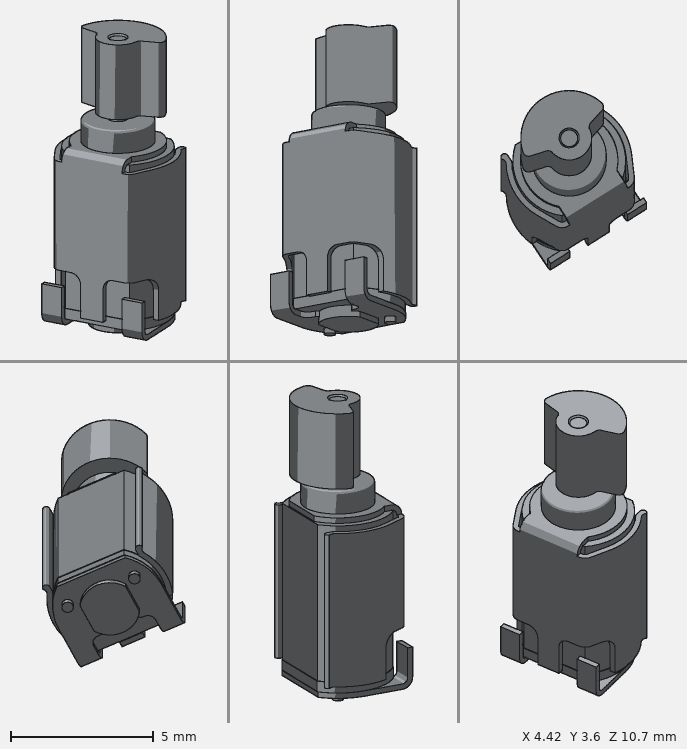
import cadquery as cq
import math


sheet = 0.2
bend_inner = sheet
bend_outer = bend_inner + sheet

plate_bottom = 0.2
plate_top = plate_bottom + sheet
cap_top = 0.8
sleeve_bottom = 0.7
can_top = 6.6
tab_top = can_top + sheet
sleeve_top = tab_top - bend_outer
bearing_top = 7.63
weight_bottom = 7.87
total_height = 10.66

can_radius = 1.97
can_half_depth = 1.5
cap_radius = 1.99
cap_half_depth = 1.52
bearing_radius = 1.3
bearing_fillet = 0.1
shaft_radius = 0.35

sleeve_outer = 2.21
sleeve_inner = sleeve_outer - sheet
front_outer = -1.9
front_inner = front_outer + sheet
bend_y = front_outer + bend_outer
wall_tangent_y = -0.98
lip_root_y = 1.15
lip_outer_x = 1.88
lip_inner_x = lip_outer_x - sheet
lip_tip_x = 1.81
lip_tip_y = 1.5
lip_curl_x = 1.94
lip_curl_y = 1.39
lip_hollow_y = 1.29
tab_radius = 1.71
tab_back = 1.44
tab_half_width = 1.2

window_top = 2.33
window_side_y = -0.79
window_side_radius = 0.5
tongue_half_width = 0.45
tongue_radius = 0.4

leg_outer_x = 2.0
leg_inner_x = tab_half_width
leg_top = 1.71
plate_front_y = -0.9
plate_fillet = 0.3
notch_half_width = 0.79
notch_chamfer = 0.11

boss_radius = 1.05
boss_half_width = 0.88
pin_radius = 0.2
pin_x = 1.3
pin_y = 0.7

weight_radius = 1.7
hub_radius = 0.79
weight_flank_angle = 15.0
flank_axis_y = -0.2
weight_fillet = 0.2
dimple_depth = 0.06
dimple_floor_radius = 0.3

beyond = 2 * sleeve_outer


def disc(radius, bottom, top):
    return cq.Workplane("XY").workplane(offset=bottom).circle(radius).extrude(top - bottom)


def block(x_range, y_range, z_range):
    size = [high - low for low, high in (x_range, y_range, z_range)]
    corner = (x_range[0], y_range[0], z_range[0])
    return cq.Workplane("XY").box(*size, centered=False).translate(corner)


def flatted_disc(radius, front, back, bottom, top):
    slab = block((-beyond, beyond), (front, back), (bottom, top))
    return disc(radius, bottom, top).intersect(slab)


def both_sides(half):
    return half.union(half.mirror("YZ"))


def motor():
    can = flatted_disc(can_radius, -can_half_depth, can_half_depth, cap_top, can_top)
    cap = flatted_disc(cap_radius, -cap_half_depth, cap_half_depth, plate_top, cap_top)
    bearing = disc(bearing_radius, can_top, bearing_top).faces(">Z").fillet(bearing_fillet)
    return can.union(cap).union(bearing)


def sleeve_wall_half():
    """Right half of the wrap-around wall: lip, round side, tangent flank, bend and front."""
    tangent_angle = math.asin(wall_tangent_y / sleeve_outer)
    cos_t, sin_t = math.cos(tangent_angle), math.sin(tangent_angle)
    flank_length = (bend_y - (sleeve_outer - bend_outer) * sin_t) / -cos_t
    bend_center_x = (sleeve_outer - bend_outer) * cos_t + flank_length * sin_t
    middle = (tangent_angle - math.pi / 2) / 2

    def on_bend(radius, angle):
        return (bend_center_x + radius * math.cos(angle), bend_y + radius * math.sin(angle))

    outer_root = (math.sqrt(sleeve_outer**2 - lip_root_y**2), lip_root_y)
    inner_root_y = math.sqrt(sleeve_inner**2 - lip_inner_x**2)
    return (
        cq.Workplane("XY").workplane(offset=sleeve_bottom)
        .moveTo(0, front_outer)
        .lineTo(bend_center_x, front_outer)
        .threePointArc(on_bend(bend_outer, middle), on_bend(bend_outer, tangent_angle))
        .lineTo(sleeve_outer * cos_t, sleeve_outer * sin_t)
        .threePointArc((sleeve_outer, 0), outer_root)
        .threePointArc((lip_outer_x, lip_hollow_y), (lip_curl_x, lip_curl_y))
        .threePointArc((lip_tip_x, lip_tip_y), (lip_inner_x, lip_curl_y))
        .lineTo(lip_inner_x, inner_root_y)
        .threePointArc((sleeve_inner, 0), (sleeve_inner * cos_t, sleeve_inner * sin_t))
        .lineTo(*on_bend(bend_inner, tangent_angle))
        .threePointArc(on_bend(bend_inner, middle), (bend_center_x, front_inner))
        .lineTo(0, front_inner)
        .close()
        .extrude(sleeve_top - sleeve_bottom)
    )


def window_half():
    """Opening in the lower front corner, rounded as seen from the side and from the front."""
    side = block((tongue_half_width, beyond), (-beyond, window_side_y), (0, window_top))
    side = side.edges("|X and >Y and >Z").fillet(window_side_radius)
    front = block((tongue_half_width, beyond), (-beyond, window_side_y), (0, window_top))
    front = front.edges("|Y and <X and >Z").fillet(tongue_radius)
    return side.intersect(front)


def top_tab():
    """Round tab lying on the can, bent down into the front wall."""
    plate = flatted_disc(tab_radius, bend_y, tab_back, can_top, tab_top)
    strip = block((-tab_half_width, tab_half_width), (bend_y, 0), (can_top, tab_top))
    ring = (
        cq.Workplane("YZ").center(bend_y, sleeve_top)
        .circle(bend_outer).circle(bend_inner)
        .extrude(tab_half_width, both=True)
    )
    quarter = block((-beyond, beyond), (front_outer, bend_y), (sleeve_top, tab_top))
    return plate.union(strip).union(ring.intersect(quarter))


def bracket():
    wall = both_sides(sleeve_wall_half().cut(window_half()))
    return wall.union(top_tab())


def terminal_half():
    """Right half of the terminal plate with its upturned leg."""
    round_half = flatted_disc(leg_outer_x, 0, can_half_depth, plate_bottom, plate_top)
    round_half = round_half.intersect(block((0, beyond), (0, beyond), (0, plate_top)))
    apron = (
        cq.Workplane("XY").workplane(offset=plate_bottom)
        .moveTo(0, 0)
        .lineTo(leg_outer_x, 0)
        .lineTo(leg_outer_x, bend_y)
        .lineTo(leg_inner_x, bend_y)
        .lineTo(leg_inner_x, plate_front_y - plate_fillet)
        .radiusArc((leg_inner_x - plate_fillet, plate_front_y), -plate_fillet)
        .lineTo(notch_half_width, plate_front_y)
        .lineTo(notch_half_width - notch_chamfer, plate_front_y + notch_chamfer)
        .lineTo(0, plate_front_y + notch_chamfer)
        .close()
        .extrude(sheet)
    )
    bend_z = plate_bottom + bend_outer
    leg_width = leg_outer_x - leg_inner_x
    ring = (
        cq.Workplane("YZ").workplane(offset=leg_inner_x).center(bend_y, bend_z)
        .circle(bend_outer).circle(bend_inner)
        .extrude(leg_width)
    )
    leg_x = (leg_inner_x, leg_outer_x)
    bend = ring.intersect(block(leg_x, (front_outer, bend_y), (plate_bottom, bend_z)))
    leg = block(leg_x, (front_outer, front_inner), (bend_z, leg_top))
    pin = disc(pin_radius, 0, plate_top).translate((pin_x, pin_y, 0))
    return round_half.union(apron).union(bend).union(leg).union(pin)


def terminals():
    boss = disc(boss_radius, 0, plate_top)
    boss = boss.intersect(block((-boss_half_width, boss_half_width), (-beyond, beyond), (0, plate_top)))
    return both_sides(terminal_half()).union(boss)


def eccentric_weight():
    """Sector weight with a round hub, with a tapered dimple over the shaft end."""
    height = total_height - weight_bottom
    flank_y = flank_axis_y + beyond * math.tan(math.radians(weight_flank_angle))
    sector = (
        cq.Workplane("XY").workplane(offset=weight_bottom)
        .moveTo(0, flank_axis_y)
        .lineTo(beyond, flank_y)
        .lineTo(beyond, beyond)
        .lineTo(-beyond, beyond)
        .lineTo(-beyond, flank_y)
        .close()
        .extrude(height)
    )
    sector = sector.intersect(disc(weight_radius, weight_bottom, total_height))
    weight = sector.union(disc(hub_radius, weight_bottom, total_height))
    weight = weight.edges("|Z").fillet(weight_fillet)
    shaft = disc(shaft_radius, can_top, weight_bottom)
    dimple = (
        cq.Workplane("XY").workplane(offset=total_height - dimple_depth)
        .circle(dimple_floor_radius)
        .workplane(offset=dimple_depth).circle(shaft_radius)
        .loft()
    )
    return weight.union(shaft).cut(dimple)


result = motor().union(bracket()).union(terminals()).union(eccentric_weight())